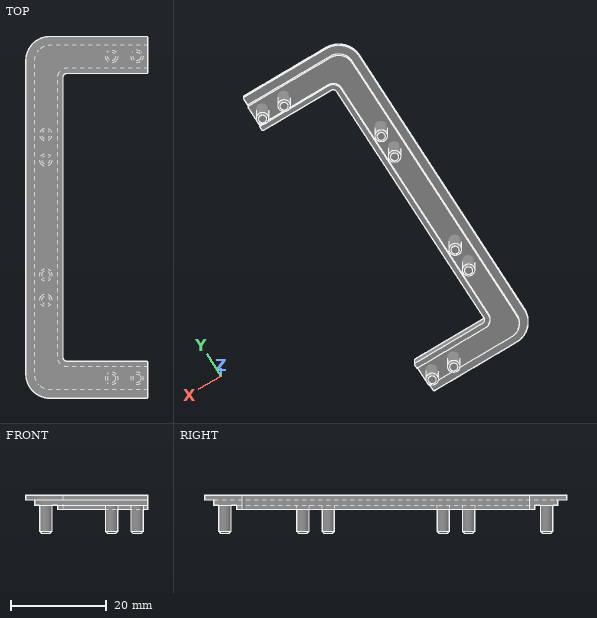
import cadquery as cq
import math

length_x = 25.5
length_y = 75.6
height = 8.0

frame_width = 7.8
plate_thickness = 1.0
middle_thickness = 1.1
rail_thickness = 0.9
middle_inset = 1.85
rail_inset = 6.65
outer_radius = 5.1
inner_radius = 0.8
end_corner_radius = 0.3

pin_diameter = 2.6
pin_tip_chamfer = 0.45
pin_root_radius = 0.2
pin_edge_distance = 4.2
pin_spacing = 5.3
leg_pin_end_distance = 2.25
side_pin_center_offset = 12.0

plate_bottom = height - plate_thickness
middle_bottom = plate_bottom - middle_thickness
rail_bottom = middle_bottom - rail_thickness


def u_layer(inset, corner_radius, bottom, thickness):
    """U-shaped layer open towards +X, set in from the outer edges on three sides."""
    layer_length = length_x - inset
    outer = (
        cq.Workplane("XY", origin=(inset, 0, bottom))
        .rect(2 * layer_length, length_y - 2 * inset)
        .extrude(thickness)
        .translate((layer_length, 0, 0))
        .edges("|Z and <X")
        .fillet(corner_radius)
    )
    opening = (
        cq.Workplane("XY", origin=(frame_width + length_x, 0, bottom))
        .rect(2 * length_x, length_y - 2 * frame_width)
        .extrude(thickness)
        .edges("|Z and <X")
        .fillet(inner_radius)
    )
    beyond_ends = (
        cq.Workplane("XY", origin=(2 * length_x, 0, bottom))
        .rect(2 * length_x, length_y)
        .extrude(thickness)
    )
    return outer.cut(opening).cut(beyond_ends)


def round_end_corners(layer, corners):
    """Round the chosen vertical edges at the free ends of the legs."""
    return layer.edges("|Z and >X").edges(corners).fillet(end_corner_radius)


def pin_positions():
    """Two pins on each leg and two pairs along the long side."""
    leg_y = length_y / 2 - pin_edge_distance
    leg_x = length_x - leg_pin_end_distance
    positions = []
    for side in (-1, 1):
        for step in (0, pin_spacing):
            positions.append((leg_x - step, side * leg_y))
            positions.append((pin_edge_distance, side * (side_pin_center_offset + step)))
    return positions


def pin():
    """Round pin with a chamfered tip and a concave fillet where it meets the middle layer."""
    radius = pin_diameter / 2
    root_radius = radius + pin_root_radius
    tip_radius = radius - pin_tip_chamfer
    arc_offset = pin_root_radius * (1 - math.sqrt(0.5))
    profile = (
        cq.Workplane("XZ")
        .lineTo(tip_radius, 0)
        .lineTo(radius, pin_tip_chamfer)
        .lineTo(radius, middle_bottom - pin_root_radius)
        .threePointArc((radius + arc_offset, middle_bottom - arc_offset), (root_radius, middle_bottom))
        .lineTo(root_radius, plate_bottom)
        .lineTo(0, plate_bottom)
        .close()
    )
    return profile.revolve(360, (0, 0, 0), (0, 1, 0))


all_corners = "|Z"
inner_corners = "not(<Y or >Y)"
middle_radius = outer_radius - middle_inset
rail_radius = inner_radius + frame_width - rail_inset

plate = u_layer(0, outer_radius, plate_bottom, plate_thickness)
middle = u_layer(middle_inset, middle_radius, middle_bottom, middle_thickness)
rail = u_layer(rail_inset, rail_radius, rail_bottom, rail_thickness)

result = (
    round_end_corners(plate, all_corners)
    .union(round_end_corners(middle, all_corners))
    .union(round_end_corners(rail, inner_corners))
)
for x, y in pin_positions():
    result = result.union(pin().translate((x, y, 0)))